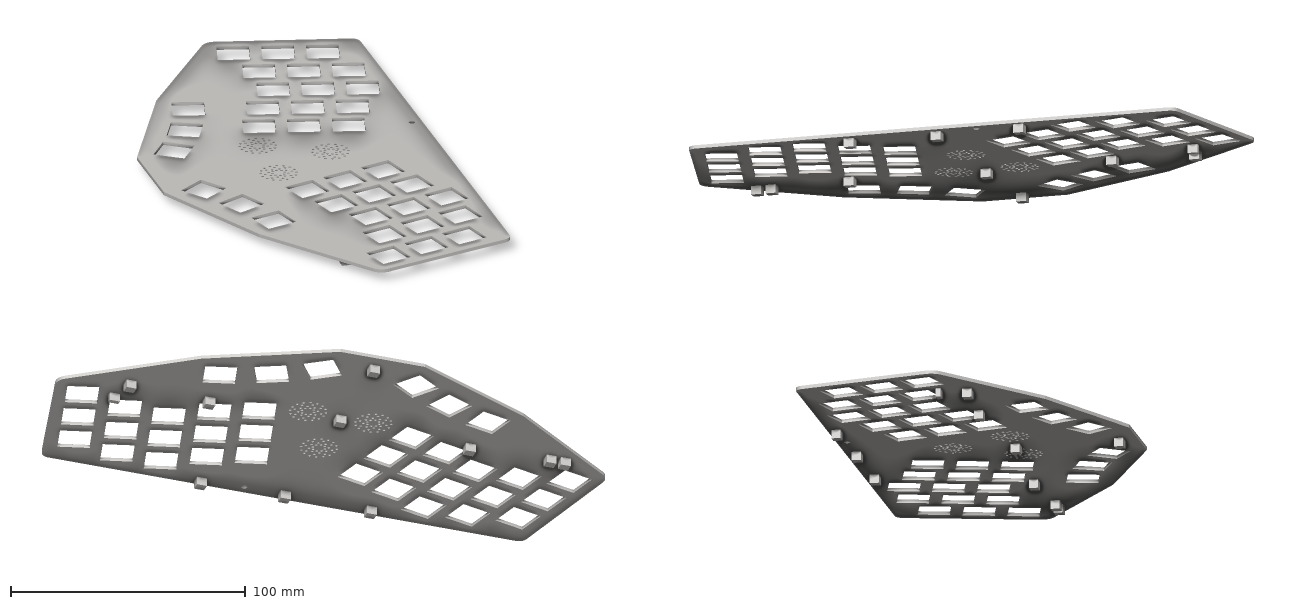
import cadquery as cq
import math

plate_thickness = 1.5
total_height = 5.2
half_length = 124.0
half_width = 63.5
bottom_corner_x = 19.0
lower_corner = (73.0, -38.0)
side_tilt = math.radians(14.1)
side_radius = 6.0
side_round_y = 2.5
top_corner_radius = 4.0

key_side = 14.0
key_pitch = 19.0
hand_tilt = 15.0
key_rows = (-1, 0, 1)
outer_key = (105.2, 26.5)
column_steps = (0, 10.2, 5.2, -5.2, -2.5)
thumb_keys = ((60.5, -27.5, 15.0), (40.2, -35.5, 25.0), (21.3, -46.5, 35.0))

vent_hole_diameter = 1.2
vent_centers = ((0.0, 16.9), (-15.0, -11.0), (14.6, -11.0))
vent_rings = ((2.7, 8, 0.0), (4.2, 8, 0.5), (6.0, 8, 0.0), (7.7, 16, 0.5))

top_hole_diameter = 2.7
top_hole_center = (-18.5, 59.0)

leg_length = total_height - plate_thickness
leg_size = (4.5, 4.0)
leg_centers = (
    (-38.2, 59.5), (-0.7, 58.3), (38.2, 58.3),
    (-94.5, -8.7), (-58.0, -6.5), (-0.2, -10.7), (59.8, -6.5), (95.5, -8.7), (102.0, -8.7),
    (-1.2, -55.8),
)
thin_leg_size = (4.5, 2.2)
thin_leg_center = (-97.5, 3.2)


def polar_point(center, radius, angle):
    return (center[0] + radius * math.cos(angle), center[1] + radius * math.sin(angle))


def make_plate():
    """Flat plate whose side rounding runs tangent into the tilted side and the lower edge."""
    round_center = (half_length - side_radius, side_round_y)

    dx = lower_corner[0] - round_center[0]
    dy = lower_corner[1] - round_center[1]
    lower_angle = math.atan2(dy, dx) + math.acos(side_radius / math.hypot(dx, dy))

    side_start = polar_point(round_center, side_radius, side_tilt)
    top_corner_x = side_start[0] - (half_width - side_start[1]) * math.tan(side_tilt)

    plate = (
        cq.Workplane("XY")
        .moveTo(0, -half_width)
        .lineTo(bottom_corner_x, -half_width)
        .lineTo(*lower_corner)
        .lineTo(*polar_point(round_center, side_radius, lower_angle))
        .threePointArc((half_length, side_round_y), side_start)
        .lineTo(top_corner_x, half_width)
        .lineTo(0, half_width)
        .mirrorY()
        .extrude(plate_thickness)
    )
    return plate.edges("|Z").edges(">Y").fillet(top_corner_radius)


def right_hand_keys():
    """Centre and tilt of every key on the right half, from the outer column inwards."""
    tilt = math.radians(hand_tilt)
    keys = []
    column_shift = 0.0
    for column, step in enumerate(column_steps):
        column_shift += step
        across = -column * key_pitch
        for row in key_rows:
            along = column_shift + row * key_pitch
            x = outer_key[0] + across * math.cos(tilt) - along * math.sin(tilt)
            y = outer_key[1] + across * math.sin(tilt) + along * math.cos(tilt)
            keys.append((x, y, hand_tilt))
    keys.extend(thumb_keys)
    return keys


def make_key_cutters():
    cutters = cq.Workplane("XY")
    for x, y, tilt in right_hand_keys():
        for hand in (-1, 1):
            cutter = (
                cq.Workplane("XY")
                .rect(key_side, key_side)
                .extrude(plate_thickness)
                .rotate((0, 0, 0), (0, 0, 1), hand * tilt)
                .translate((hand * x, y, 0))
            )
            cutters.add(cutter)
    return cutters.combine()


def vent_points():
    points = []
    for center in vent_centers:
        for radius, count, shift in vent_rings:
            for index in range(count):
                angle = 2 * math.pi * (index + shift) / count
                points.append(polar_point(center, radius, angle))
    return points


def make_hole_cutters(points, diameter):
    return cq.Workplane("XY").pushPoints(points).circle(diameter / 2).extrude(plate_thickness)


def make_legs(points, size):
    return cq.Workplane("XY").pushPoints(points).rect(*size).extrude(-leg_length)


result = (
    make_plate()
    .cut(make_key_cutters())
    .cut(make_hole_cutters(vent_points(), vent_hole_diameter))
    .cut(make_hole_cutters([top_hole_center], top_hole_diameter))
    .union(make_legs(leg_centers, leg_size))
    .union(make_legs([thin_leg_center], thin_leg_size))
)